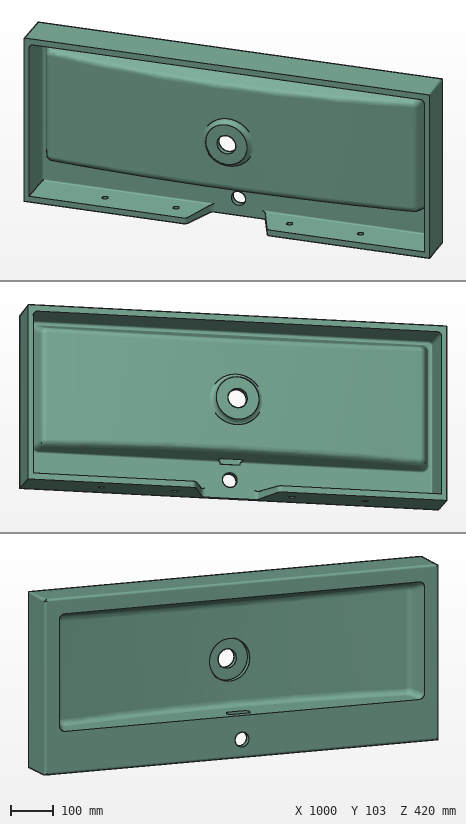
import cadquery as cq
import math


WIDTH = 1000.0
DEPTH = 100.0
HEIGHT = 420.0
RIM_FILLET = 6.0
CORNER_RADIUS = 7.0
CORNER_RADIUS_END = 3.0

SHELL = 15.0
LEDGE_Y = DEPTH - SHELL
SIDE_WALL = 13.0
TOP_WALL = 15.0
FLANGE = 15.0
RECESS_DRAFT = 4.0
RECESS_CORNER = 10.0
ROOT_FILLET = 4.0
FLANGE_ROOT = FLANGE + RECESS_DRAFT + ROOT_FILLET

BOWL_HALF_WIDTH = 473.0
BOWL_BOTTOM = 88.0
BOWL_TOP = 392.0
SIDE_SLOPE = 0.36
BOTTOM_SLOPE = 0.1
TOP_SLOPE = 0.37
FLOOR_END_Y = 38.0
FLOOR_MID_Y = 11.0
BOWL_FILLET = 15.0

DRAIN_Z = 220.0
BOSS_FACE_Y = -3.0
BOSS_RADIUS = 51.0
BOSS_FLARE = 15.0
DRAIN_DIAMETER = 46.0

OVERFLOW_LENGTH = 58.0
OVERFLOW_WIDTH = 19.0
OVERFLOW_Z = 81.0
OVERFLOW_SINK = 1.0

FAUCET_Z = 44.0
FAUCET_DIAMETER = 35.0

NOTCH_HALF_FRONT = 100.0
NOTCH_HALF_BACK = 66.0
NOTCH_FILLET = 11.0
MOUNT_HOLE_DIAMETER = 14.0
MOUNT_HOLE_Y = 45.0
MOUNT_HOLE_X = (140.0, 315.0)


def crossed_prisms(plan, side_profile):
    """Solid bounded by an XY outline and a (Y, Z) outline."""
    upright = plan.close().extrude(HEIGHT)
    across = cq.Workplane("YZ").polyline(side_profile).close().extrude(WIDTH / 2, both=True)
    return upright.intersect(across)


def cylinder_y(radius, z, y_start, y_end):
    """Cylinder along Y on the middle plane of the part."""
    return cq.Workplane("XZ", origin=(0, y_start, z)).circle(radius).extrude(y_start - y_end)


def corner_cutter(side):
    """Removes an upper corner down to a round that shrinks toward the underside."""
    def section(radius, y):
        arc_offset = radius * (1 - math.sqrt(0.5))
        x_outer = side * WIDTH / 2
        return (
            cq.Workplane("XZ", origin=(0, y, 0))
            .moveTo(x_outer, HEIGHT)
            .lineTo(x_outer - side * radius, HEIGHT)
            .threePointArc(
                (x_outer - side * arc_offset, HEIGHT - arc_offset),
                (x_outer, HEIGHT - radius),
            )
            .close()
            .wires()
            .val()
        )
    return cq.Workplane(
        cq.Solid.makeLoft([section(CORNER_RADIUS, DEPTH), section(CORNER_RADIUS_END, 0)], True)
    )


def outer_box():
    box = cq.Workplane("XY").box(WIDTH, DEPTH, HEIGHT, centered=(True, False, False))
    box = box.faces(">Y").edges().fillet(RIM_FILLET)
    for side in (-1, 1):
        box = box.cut(corner_cutter(side))
    return box


def recess():
    half = WIDTH / 2 - SIDE_WALL
    inner_half = half - RECESS_DRAFT
    top = HEIGHT - TOP_WALL
    plan = cq.Workplane("XY").polyline(
        [(-half, 0), (half, 0), (inner_half, LEDGE_Y), (-inner_half, LEDGE_Y)]
    )
    side_profile = [
        (0, FLANGE),
        (LEDGE_Y, FLANGE + RECESS_DRAFT),
        (LEDGE_Y, top - RECESS_DRAFT),
        (0, top),
    ]
    body = crossed_prisms(plan, side_profile)
    upper_corners = cq.selectors.BoxSelector(
        (-WIDTH, LEDGE_Y / 4, HEIGHT * 3 / 4), (WIDTH, LEDGE_Y * 3 / 4, HEIGHT)
    )
    body = body.edges(upper_corners).edges("not |X").fillet(RECESS_CORNER)
    return body.faces(">Y").edges().fillet(ROOT_FILLET)


def bowl(inset, y_open):
    """Bowl block with its skin moved inward by inset, reaching up to y_open."""
    depth = LEDGE_Y - FLOOR_END_Y - inset
    over = y_open - LEDGE_Y
    rise = FLOOR_END_Y - FLOOR_MID_Y
    half_root = BOWL_HALF_WIDTH - inset
    half_floor = half_root - SIDE_SLOPE * depth
    flare = SIDE_SLOPE * over
    floor_y = FLOOR_END_Y + inset
    plan = (
        cq.Workplane("XY")
        .moveTo(-half_floor, floor_y)
        .threePointArc((0, floor_y - rise), (half_floor, floor_y))
        .lineTo(half_root + flare, y_open)
        .lineTo(-half_root - flare, y_open)
    )
    side_profile = [
        (0, BOWL_BOTTOM + inset + BOTTOM_SLOPE * LEDGE_Y),
        (0, BOWL_TOP - inset - TOP_SLOPE * LEDGE_Y),
        (y_open, BOWL_TOP - inset + TOP_SLOPE * over),
        (y_open, BOWL_BOTTOM + inset - BOTTOM_SLOPE * over),
    ]
    body = crossed_prisms(plan, side_profile)
    return body.edges("not >Y").fillet(BOWL_FILLET)


def drain_boss():
    """Round boss whose side flares into the bowl floor."""
    flare_y = BOSS_FACE_Y + BOSS_FLARE
    foot = BOSS_RADIUS + BOSS_FLARE
    back_off = BOSS_FLARE * math.sqrt(0.5)
    profile = (
        cq.Workplane("XY")
        .moveTo(0, BOSS_FACE_Y)
        .lineTo(BOSS_RADIUS, BOSS_FACE_Y)
        .threePointArc((foot - back_off, BOSS_FACE_Y + back_off), (foot, flare_y))
        .lineTo(foot, flare_y + SHELL / 2)
        .lineTo(0, flare_y + SHELL / 2)
        .close()
    )
    return profile.revolve(360, (0, 0, 0), (0, 1, 0)).translate((0, 0, DRAIN_Z))


def flange_notch():
    outline = [
        (-NOTCH_HALF_FRONT, 0),
        (NOTCH_HALF_FRONT, 0),
        (NOTCH_HALF_BACK, LEDGE_Y),
        (-NOTCH_HALF_BACK, LEDGE_Y),
    ]
    notch = cq.Workplane("XY").polyline(outline).close().extrude(FLANGE_ROOT)
    return notch.edges("|Z and >Y").fillet(NOTCH_FILLET)


def overflow_slot():
    """Slot along Z whose long side sinks slightly into the ledge."""
    middle_y = LEDGE_Y + OVERFLOW_SINK - OVERFLOW_WIDTH / 2
    return (
        cq.Workplane("XY", origin=(0, middle_y, OVERFLOW_Z))
        .slot2D(OVERFLOW_LENGTH, OVERFLOW_WIDTH)
        .extrude(2 * SHELL)
    )


def mounting_holes():
    points = [(side * x, MOUNT_HOLE_Y) for side in (-1, 1) for x in MOUNT_HOLE_X]
    return (
        cq.Workplane("XY").pushPoints(points).circle(MOUNT_HOLE_DIAMETER / 2)
        .extrude(FLANGE_ROOT)
    )


result = outer_box().cut(recess())
result = result.union(bowl(0, LEDGE_Y + SHELL / 2))

margin = ROOT_FILLET / 4
bowl_root = cq.selectors.BoxSelector(
    (-BOWL_HALF_WIDTH - margin, LEDGE_Y - margin, BOWL_BOTTOM - margin),
    (BOWL_HALF_WIDTH + margin, LEDGE_Y + margin, BOWL_TOP + margin),
)
result = result.edges(bowl_root).fillet(ROOT_FILLET)

result = result.union(drain_boss())
result = result.cut(bowl(SHELL, DEPTH + SHELL))
result = result.cut(cylinder_y(BOSS_RADIUS, DRAIN_Z, BOSS_FACE_Y + SHELL, DEPTH))
result = result.cut(cylinder_y(DRAIN_DIAMETER / 2, DRAIN_Z, BOSS_FACE_Y, DEPTH))
result = result.cut(cylinder_y(FAUCET_DIAMETER / 2, FAUCET_Z, LEDGE_Y, DEPTH))
result = result.cut(overflow_slot())
result = result.cut(flange_notch())

notch_front = cq.selectors.BoxSelector(
    (-NOTCH_HALF_FRONT - margin, -margin, 0),
    (NOTCH_HALF_FRONT + margin, margin, FLANGE),
)
result = result.edges("|Z").edges(notch_front).fillet(NOTCH_FILLET)
result = result.cut(mounting_holes())